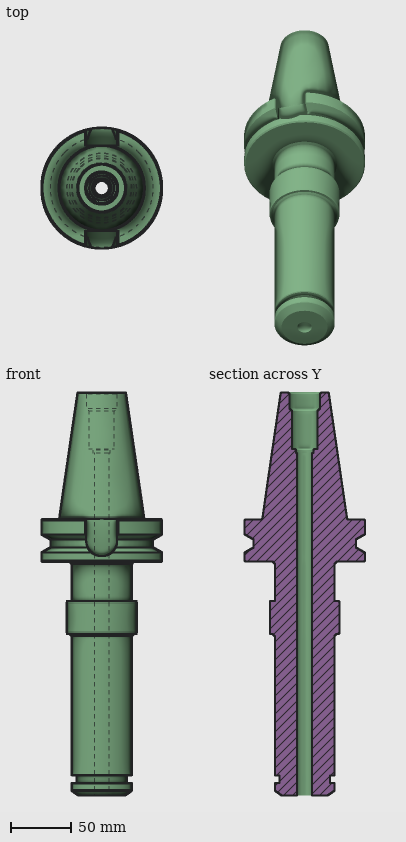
import cadquery as cq
import math

total_length = 333.5
gauge_level = 231.0
collar_top = 161.0
collar_bottom = 133.8

taper_ratio = 7 / 24
gauge_diameter = 70.0
gauge_foot_chamfer = 0.7
taper_length = total_length - gauge_level
taper_end_diameter = gauge_diameter - taper_ratio * taper_length
taper_end_chamfer = 0.7

flange_diameter = 100.0
flange_top = 229.0
flange_bottom = 193.5
flange_chamfer = 1.0
groove_root_diameter = 85.0
groove_root_top = 212.0
groove_root_bottom = 205.5
groove_flank_angle = 60.0
groove_depth = (flange_diameter - groove_root_diameter) / 2
groove_flank_height = groove_depth / math.tan(math.radians(groove_flank_angle))

shank_diameter = 50.0
shank_root_chamfer = 1.7
collar_diameter = 58.0
collar_edge_height = 1.7
collar_edge_inset = 0.5
ring_groove_diameter = 42.0
ring_groove_top = 16.7
ring_groove_bottom = 10.7
ring_groove_chamfer = 0.7
nose_edge_level = 4.7
nose_cone_height = 4.0
nose_edge_inset = 0.5
nose_end_diameter = 38.0

slot_width = 25.7
slot_floor_offset = 35.5
slot_lowest = 198.0
slot_edge_chamfer = 1.0

mouth_diameter = 27.5
mouth_depth = 1.5
counterbore_diameter = 25.0
counterbore_depth = 13.5
thread_diameter = 20.7
thread_depth = 46.7
step_diameter = 14.0
step_depth = 3.5
step_chamfer = 1.0
through_diameter = 12.0


def revolve_profile(points):
    """Revolve a closed (radius, height) outline about the Z axis."""
    return cq.Workplane("XZ").polyline(points).close().revolve(360, (0, 0, 0), (0, 1, 0))


def make_body():
    flange_radius = flange_diameter / 2
    root_radius = groove_root_diameter / 2
    shank_radius = shank_diameter / 2
    collar_radius = collar_diameter / 2
    ring_radius = ring_groove_diameter / 2
    gauge_radius = gauge_diameter / 2
    taper_end_radius = taper_end_diameter / 2
    return revolve_profile([
        (0, 0),
        (nose_end_diameter / 2, 0),
        (shank_radius - nose_edge_inset, nose_cone_height),
        (shank_radius, nose_edge_level),
        (shank_radius, ring_groove_bottom - ring_groove_chamfer),
        (shank_radius - ring_groove_chamfer, ring_groove_bottom),
        (ring_radius, ring_groove_bottom),
        (ring_radius, ring_groove_top),
        (shank_radius - ring_groove_chamfer, ring_groove_top),
        (shank_radius, ring_groove_top + ring_groove_chamfer),
        (shank_radius, collar_bottom - shank_root_chamfer),
        (shank_radius + shank_root_chamfer, collar_bottom),
        (collar_radius - collar_edge_inset, collar_bottom),
        (collar_radius, collar_bottom + collar_edge_height),
        (collar_radius, collar_top - collar_edge_height),
        (collar_radius - collar_edge_inset, collar_top),
        (shank_radius, collar_top),
        (shank_radius, flange_bottom - shank_root_chamfer),
        (shank_radius + shank_root_chamfer, flange_bottom),
        (flange_radius - flange_chamfer, flange_bottom),
        (flange_radius, flange_bottom + flange_chamfer),
        (flange_radius, groove_root_bottom - groove_flank_height),
        (root_radius, groove_root_bottom),
        (root_radius, groove_root_top),
        (flange_radius, groove_root_top + groove_flank_height),
        (flange_radius, flange_top - flange_chamfer),
        (flange_radius - flange_chamfer, flange_top),
        (gauge_radius + gauge_foot_chamfer, flange_top),
        (gauge_radius, flange_top + gauge_foot_chamfer),
        (gauge_radius, gauge_level),
        (taper_end_radius + taper_ratio / 2 * taper_end_chamfer, total_length - taper_end_chamfer),
        (taper_end_radius - taper_end_chamfer, total_length),
        (0, total_length),
    ])


def make_bore():
    counterbore_floor = total_length - counterbore_depth
    thread_floor = total_length - thread_depth
    counterbore_radius = counterbore_diameter / 2
    thread_radius = thread_diameter / 2
    step_radius = step_diameter / 2
    through_radius = through_diameter / 2
    return revolve_profile([
        (0, 0),
        (through_radius, 0),
        (through_radius, thread_floor - step_depth),
        (step_radius, thread_floor - step_depth),
        (step_radius, thread_floor - step_chamfer),
        (step_radius + step_chamfer, thread_floor),
        (thread_radius, thread_floor),
        (thread_radius, counterbore_floor - (counterbore_radius - thread_radius)),
        (counterbore_radius, counterbore_floor),
        (counterbore_radius, total_length - mouth_depth),
        (mouth_diameter / 2, total_length),
        (0, total_length),
    ])


def make_slot():
    """Round-ended drive slot, open toward -Y and toward the top of the flange."""
    half_width = slot_width / 2
    arc_center = slot_lowest + half_width
    return (
        cq.Workplane("XZ", origin=(0, -slot_floor_offset, 0))
        .moveTo(-half_width, gauge_level)
        .lineTo(-half_width, arc_center)
        .threePointArc((0, slot_lowest), (half_width, arc_center))
        .lineTo(half_width, gauge_level)
        .close()
        .extrude(flange_diameter / 2)
    )


def break_slot_edges(body):
    """Chamfer the slot wall edges along the rim and top of the flange, above the gripper groove."""
    margin = 0.05
    rim_bottom = groove_root_top + groove_flank_height
    rim_edges = []
    for x in (-slot_width / 2, slot_width / 2):
        for side in (-1, 1):
            near_corner = (x - margin, side * (slot_floor_offset + margin), rim_bottom)
            far_corner = (x + margin, side * flange_diameter, flange_top + margin)
            rim_edges += body.edges(cq.selectors.BoxSelector(near_corner, far_corner)).vals()
    return body.newObject(rim_edges).chamfer(slot_edge_chamfer)


result = make_body().cut(make_bore())
for angle in (0, 180):
    result = result.cut(make_slot().rotate((0, 0, 0), (0, 0, 1), angle))
result = break_slot_edges(result)